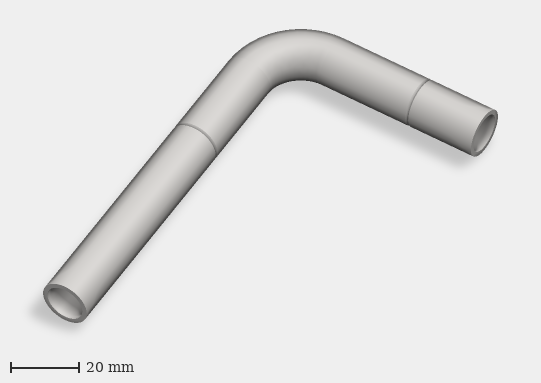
import cadquery as cq

length_x = 77.5
length_y = 127.5
outer_diameter = 15.0
bore_diameter = 12.0
bend_radius = 18.0
elbow_leg = 30.0
groove_depth = 0.5

outer_radius = outer_diameter / 2
run_x = length_x - outer_radius
run_y = length_y - outer_radius
joint_distance = bend_radius + elbow_leg


def bent_rod(diameter):
    """Solid rod along the L-shaped centreline, whose sharp corner is the origin."""
    centreline = (
        cq.Workplane("XY")
        .moveTo(0, -run_y)
        .lineTo(0, -bend_radius)
        .radiusArc((bend_radius, 0), bend_radius)
        .lineTo(run_x, 0)
    )
    profile = cq.Workplane("XZ", origin=(0, -run_y, 0)).circle(diameter / 2)
    return profile.sweep(centreline)


def joint_groove():
    """V-shaped ring around the X axis, centred on the origin."""
    root_radius = outer_radius - groove_depth
    rim_radius = outer_radius + groove_depth
    flank_width = rim_radius - root_radius
    return (
        cq.Workplane("XY")
        .moveTo(0, root_radius)
        .lineTo(flank_width, rim_radius)
        .lineTo(-flank_width, rim_radius)
        .close()
        .revolve(360, (0, 0, 0), (1, 0, 0))
    )


pipe = bent_rod(outer_diameter).cut(bent_rod(bore_diameter))

groove_on_x_leg = joint_groove().translate((joint_distance, 0, 0))
groove_on_y_leg = groove_on_x_leg.rotate((0, 0, 0), (0, 0, 1), -90)

result = pipe.cut(groove_on_x_leg).cut(groove_on_y_leg)